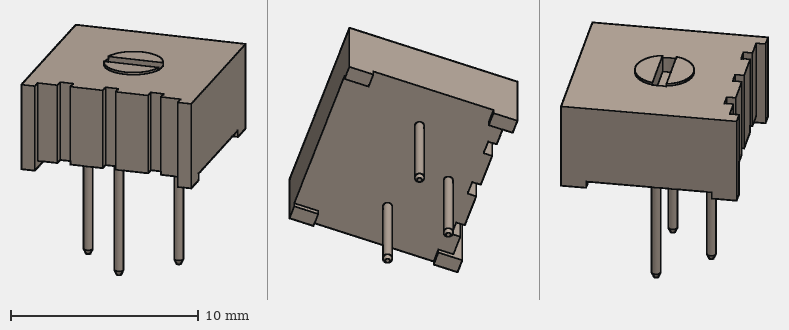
import cadquery as cq


housing_side = 9.53
housing_height = 4.83
half_side = housing_side / 2

foot_height = 0.38
foot_width_x = 0.76
foot_length_y = 1.36

front_recess_depth = 0.51
groove_width = 0.72
groove_depth = 0.49

rotor_diameter = 3.17
rotor_protrusion = 0.13
rotor_seat_depth = 1.5
slot_width = 0.76
slot_depth = 1.0

pitch = 2.54
pin_diameter = 0.508
pin_tip_diameter = 0.25
pin_tip_height = 0.28
pin_reach_below_feet = 6.26
pin_places = [(-pitch, 0), (0, -pitch), (pitch, 0)]

underside_z = foot_height
rotor_seat_z = housing_height - rotor_seat_depth
rotor_top_z = housing_height + rotor_protrusion


def block(size_x, size_y, center_x, min_y, min_z, max_z):
    """Box centred on center_x that starts at min_y and runs towards +Y."""
    return (
        cq.Workplane("XY", origin=(center_x, min_y, min_z))
        .box(size_x, size_y, max_z - min_z, centered=(True, False, False))
    )


def make_housing():
    body = block(housing_side, housing_side, 0, -half_side, 0, housing_height)

    span_between_feet_x = housing_side - 2 * foot_width_x
    span_between_feet_y = housing_side - 2 * foot_length_y
    body = body.cut(block(span_between_feet_x, housing_side, 0, -half_side, 0, underside_z))
    body = body.cut(block(housing_side, span_between_feet_y, 0, -span_between_feet_y / 2, 0, underside_z))

    body = body.cut(block(span_between_feet_x, front_recess_depth, 0, -half_side, 0, housing_height))

    recessed_front_y = -half_side + front_recess_depth
    for pin_x, _ in pin_places:
        body = body.cut(block(groove_width, groove_depth, pin_x, recessed_front_y, 0, housing_height))

    rotor_seat = (
        cq.Workplane("XY", origin=(0, 0, rotor_seat_z))
        .circle(rotor_diameter / 2)
        .extrude(rotor_seat_depth)
    )
    return body.cut(rotor_seat)


def make_rotor():
    disc = (
        cq.Workplane("XY", origin=(0, 0, rotor_seat_z))
        .circle(rotor_diameter / 2)
        .extrude(rotor_top_z - rotor_seat_z)
    )
    slot = block(rotor_diameter, slot_width, 0, -slot_width / 2, rotor_top_z - slot_depth, rotor_top_z)
    return disc.cut(slot)


def make_pin(x, y):
    """Round pin hanging from the underside, with a truncated cone at its lower end."""
    shank_end_z = -pin_reach_below_feet + pin_tip_height
    return (
        cq.Workplane("XZ")
        .moveTo(0, underside_z)
        .lineTo(pin_diameter / 2, underside_z)
        .lineTo(pin_diameter / 2, shank_end_z)
        .lineTo(pin_tip_diameter / 2, -pin_reach_below_feet)
        .lineTo(0, -pin_reach_below_feet)
        .close()
        .revolve(360, (0, 0), (0, 1))
        .translate((x, y, 0))
    )


housing = make_housing()
rotor = make_rotor()
pins = [make_pin(x, y) for x, y in pin_places]

result = cq.Compound.makeCompound([housing.val(), rotor.val(), *[pin.val() for pin in pins]])